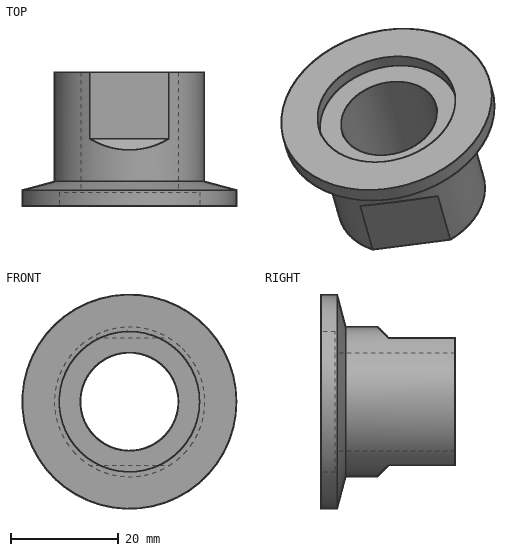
import cadquery as cq
import math

total_length = 25.0
flange_diameter = 40.0
flange_rim_length = 3.0
flange_back_angle = 15.0
neck_diameter = 28.0
bore_diameter = 18.25
recess_diameter = 26.2
recess_depth = 2.6

across_flats = 23.8
flat_length = 12.4

flange_radius = flange_diameter / 2
neck_radius = neck_diameter / 2
bore_radius = bore_diameter / 2
recess_radius = recess_diameter / 2
cone_length = (flange_radius - neck_radius) * math.tan(math.radians(flange_back_angle))
cone_end = flange_rim_length + cone_length


def make_body():
    """Flange, neck, bore and face recess, revolved about the Y axis."""
    half_section = [
        (recess_radius, 0),
        (flange_radius, 0),
        (flange_radius, flange_rim_length),
        (neck_radius, cone_end),
        (neck_radius, total_length),
        (bore_radius, total_length),
        (bore_radius, recess_depth),
        (recess_radius, recess_depth),
    ]
    profile = cq.Workplane("XY").polyline(half_section).close()
    return profile.revolve(360, (0, 0, 0), (0, 1, 0))


def make_flat_cutter():
    """Prism that removes the material above the +Z flat and its sloped run-out."""
    flat_height = across_flats / 2
    flat_start = total_length - flat_length
    cut_depth = neck_radius - flat_height
    side_section = [
        (total_length, flat_height),
        (flat_start, flat_height),
        (flat_start - cut_depth, neck_radius),
        (total_length, neck_radius),
    ]
    profile = cq.Workplane("YZ").polyline(side_section).close()
    return profile.extrude(neck_radius, both=True)


flat_cutter = make_flat_cutter()
result = make_body().cut(flat_cutter).cut(flat_cutter.mirror("XY"))